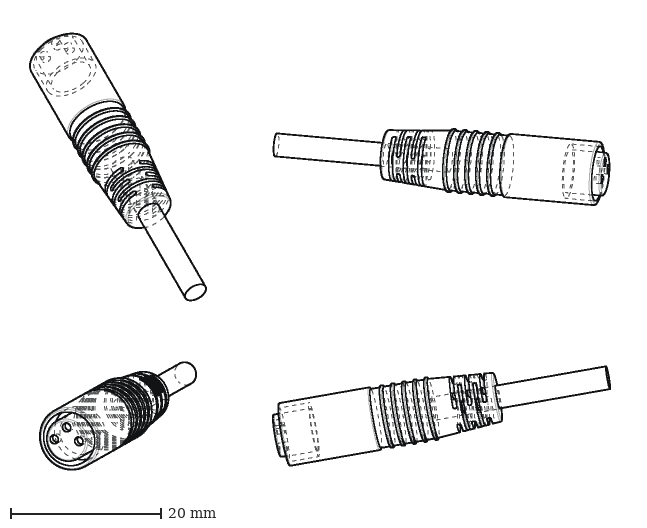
import cadquery as cq

total_length = 45.0

body_diameter = 8.5
grip_diameter = 8.0
tail_end_diameter = 6.6
body_front_x = 1.0
grip_start_x = 13.45
tail_end_x = 30.0
edge_round = 0.22

rib_count = 5
first_rib_x = 15.0
last_rib_x = 21.0
rib_pitch = (last_rib_x - first_rib_x) / (rib_count - 1)
rib_radius = (body_diameter - grip_diameter) / 2
taper_start_x = last_rib_x + rib_radius

insert_diameter = 5.75
socket_diameter = 7.3
socket_depth = 4.05
contact_hole_diameter = 1.15
contact_circle_radius = 1.75
contact_hole_depth = 4.05
contact_positions = ((contact_circle_radius, 0), (0, contact_circle_radius), (-contact_circle_radius, 0))

slot_pitch = 2.02
side_slot_count = 3
side_slot_width = 0.55
first_side_slot_x = 24.5
vertical_slot_count = side_slot_count - 1
vertical_slot_width = 0.45
first_vertical_slot_x = first_side_slot_x + slot_pitch / 2
slot_floor_offset = 1.2

cable_diameter = 3.1
cable_start_x = taper_start_x


def rod(diameter, start_x, end_x):
    """Round bar along the X axis."""
    return cq.Workplane("YZ", origin=(start_x, 0, 0)).circle(diameter / 2).extrude(end_x - start_x)


def outer_shell():
    """Cylindrical body joined to the revolved grip and tapered tail, with rounded end edges."""
    grip_r = grip_diameter / 2
    tail = (
        cq.Workplane("XY")
        .moveTo(grip_start_x, 0)
        .lineTo(grip_start_x, grip_r)
        .lineTo(taper_start_x, grip_r)
        .lineTo(tail_end_x, tail_end_diameter / 2)
        .lineTo(tail_end_x, 0)
        .close()
        .revolve(360, (0, 0, 0), (1, 0, 0))
        .faces(">X")
        .edges()
        .fillet(edge_round)
    )
    body = rod(body_diameter, body_front_x, grip_start_x).edges().fillet(edge_round)
    return body.union(tail)


def rib(center_x):
    """Ring of round section whose outer half stands proud of the grip."""
    ring = cq.Solid.makeTorus(grip_diameter / 2, rib_radius, cq.Vector(center_x, 0, 0), cq.Vector(1, 0, 0))
    return cq.Workplane(ring)


def socket():
    """Ring-shaped recess between the shell and the contact insert."""
    socket_end_x = body_front_x + socket_depth
    bore = rod(socket_diameter, body_front_x, socket_end_x)
    return bore.cut(rod(insert_diameter, body_front_x, socket_end_x))


def contact_insert():
    """Round plug that stands slightly out of the shell, drilled for the contacts."""
    plug = rod(insert_diameter, 0, body_front_x + socket_depth).faces("<X").edges().fillet(edge_round)
    holes = (
        cq.Workplane("YZ")
        .pushPoints(contact_positions)
        .circle(contact_hole_diameter / 2)
        .extrude(contact_hole_depth)
    )
    return plug.cut(holes)


def side_slot(center_x, width):
    """Pair of slots open to +Y and -Y, running through along Z, with full-round floors."""
    reach = body_diameter / 2
    half_width = width / 2
    straight_y = slot_floor_offset + half_width
    slot = (
        cq.Workplane("XY", origin=(center_x, 0, 0))
        .moveTo(-half_width, reach)
        .lineTo(-half_width, straight_y)
        .threePointArc((0, slot_floor_offset), (half_width, straight_y))
        .lineTo(half_width, reach)
        .close()
        .extrude(reach, both=True)
    )
    return slot.union(slot.mirror("XZ"))


def vertical_slot(center_x, width):
    """The side slot turned a quarter about X, so that it opens to +Z and -Z."""
    return side_slot(center_x, width).rotate((0, 0, 0), (1, 0, 0), 90)


def make_connector():
    """Moulded connector with its ribs, socket, contact insert, cable bore and slots."""
    connector = outer_shell()
    for index in range(rib_count):
        connector = connector.union(rib(first_rib_x + index * rib_pitch))
    connector = connector.cut(socket()).union(contact_insert())
    connector = connector.cut(rod(cable_diameter, cable_start_x, tail_end_x))
    for index in range(side_slot_count):
        connector = connector.cut(side_slot(first_side_slot_x + index * slot_pitch, side_slot_width))
    for index in range(vertical_slot_count):
        slot_x = first_vertical_slot_x + index * slot_pitch
        connector = connector.cut(vertical_slot(slot_x, vertical_slot_width))
    return connector


def make_cable():
    """Cable from the bottom of its bore to the free end."""
    return rod(cable_diameter, cable_start_x, total_length)


connector = make_connector()
cable = make_cable()

result = cq.Compound.makeCompound([connector.solids().val(), cable.val()])